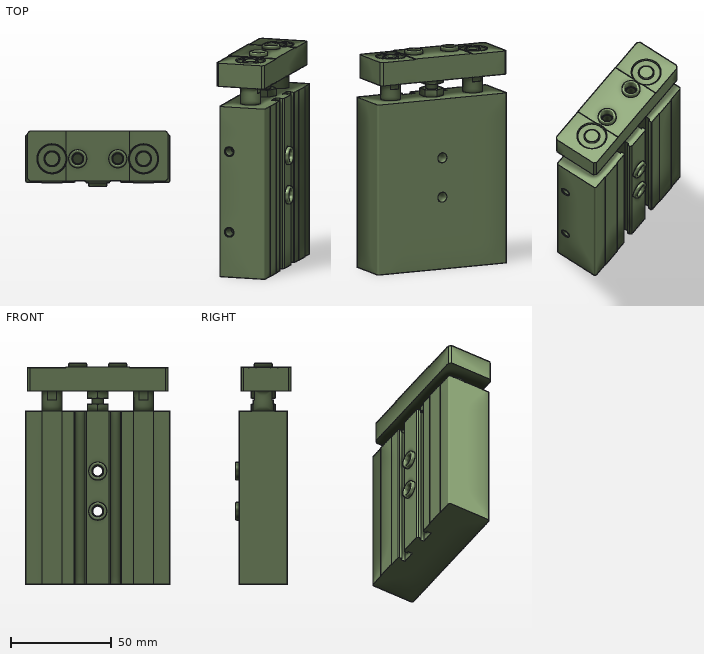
import cadquery as cq
import math

total_height = 110.4
housing_width = 72.0
housing_depth = 24.1
housing_height = 86.4
rod_gap = 9.9

housing_round = 1.0
front_y = -housing_depth / 2
slot_centre_x = 8.8
slot_throat = 5.0
slot_head = 6.8
slot_depth = 4.5
slot_lip = 2.2
rib_chamfer = 0.8
outer_chamfer = 0.7
relief_depth = 0.2
side_hole_y = 6.8
side_hole_drops = (22.6, 63.6)
side_hole_diameter = 4.1
side_hole_mouth = 5.0
side_hole_depth = 8.8
drill_point_angle = 118.0

sleeve_pitch = 20.0
sleeve_diameter = 9.0
sleeve_bore = 6.0
sleeve_exposed = 1.9
sleeve_seat = 2.1
thread_diameter = 5.0
plate_thread_depth = 7.7
upper_port_drop = 29.9
plate_sleeve_xs = (-sleeve_pitch / 2, sleeve_pitch / 2)
port_heights = [housing_height - upper_port_drop - i * sleeve_pitch for i in range(2)]

plate_width = 70.1
plate_back_y = 13.9
plate_front_y = -11.0
plate_chamfer = 1.2
pad_width = 31.7
pad_height = 0.3
plate_bottom = housing_height + rod_gap
pad_top = total_height - sleeve_exposed
plate_top = pad_top - pad_height

piston_diameter = 6.0
hex_corners = 12.0
hex_height = 3.5
hex_chamfer_rise = 0.2
hex_chamfer_width = 0.4

guide_spacing = 45.7
guide_xs = (-guide_spacing / 2, guide_spacing / 2)
guide_diameter = 10.0
spigot_diameter = 8.0
spigot_chamfer = 0.5
flat_width = 8.9
flat_height = 4.3
recess_diameter = 14.0
recess_mouth = 15.0
recess_depth = (recess_mouth - recess_diameter) / 2


def cylinder(diameter, bottom, top, x=0.0):
    """Upright cylinder on the Y = 0 plane."""
    return cq.Workplane("XY", origin=(x, 0, bottom)).circle(diameter / 2).extrude(top - bottom)


def tee_slot():
    """Tee slot at +X, cut through the full housing height; its rib side is the -X side."""
    rib_x = slot_centre_x - slot_throat / 2
    outer_x = slot_centre_x + slot_throat / 2
    head_rib_x = slot_centre_x - slot_head / 2
    head_outer_x = slot_centre_x + slot_head / 2
    lip_y = front_y + slot_lip
    floor_y = front_y + slot_depth
    outline = [
        (rib_x - rib_chamfer, front_y),
        (rib_x, front_y + rib_chamfer),
        (rib_x, lip_y),
        (head_rib_x, lip_y),
        (head_rib_x, floor_y),
        (head_outer_x, floor_y),
        (head_outer_x, lip_y),
        (outer_x, lip_y),
        (outer_x, front_y + outer_chamfer),
        (outer_x + outer_chamfer, front_y),
    ]
    return cq.Workplane("XY").polyline(outline).close().extrude(housing_height)


def front_relief():
    """Shallow cut over the +X part of the front face, leaving a strip in front of the guide rod."""
    strip_start = (guide_spacing - guide_diameter) / 2
    strip_end = (guide_spacing + guide_diameter) / 2
    face_end = housing_width / 2
    relief = cq.Workplane("XY")
    for start, end in ((slot_centre_x, strip_start), (strip_end, face_end)):
        relief = relief.moveTo((start + end) / 2, front_y).rect(end - start, 2 * relief_depth)
    return relief.extrude(housing_height)


def side_hole(z):
    """Blind drilled hole in the -X face with a conical point and a chamfered mouth."""
    radius = side_hole_diameter / 2
    mouth_radius = side_hole_mouth / 2
    mouth_depth = mouth_radius - radius
    point_depth = radius / math.tan(math.radians(drill_point_angle / 2))
    profile = [
        (0, 0),
        (0, mouth_radius),
        (mouth_depth, radius),
        (side_hole_depth, radius),
        (side_hole_depth + point_depth, 0),
    ]
    hole = cq.Workplane("XY").polyline(profile).close().revolve(360, (0, 0, 0), (1, 0, 0))
    return hole.translate((-housing_width / 2, side_hole_y, z))


def sleeve_hole(thread_depth):
    """Sleeve seat with a thread hole below it, entering downward from Z = 0."""
    seat = cylinder(sleeve_diameter, -sleeve_seat, 0)
    return seat.union(cylinder(thread_diameter, -thread_depth, 0))


def face_front(body, z):
    """Turn a body whose axis is +Z to face -Y, and set it on the housing front at height z."""
    return body.rotate((0, 0, 0), (1, 0, 0), 90).translate((0, front_y, z))


def make_housing():
    body = cq.Workplane("XY").rect(housing_width, housing_depth).extrude(housing_height)
    slot = tee_slot()
    body = body.cut(slot).cut(slot.mirror("YZ"))
    relief = front_relief()
    body = body.cut(relief).cut(relief.mirror("YZ"))
    body = body.edges("|Z and (<X or >X)").fillet(housing_round)
    for drop in side_hole_drops:
        body = body.cut(side_hole(housing_height - drop))
    for z in port_heights:
        body = body.cut(face_front(sleeve_hole(housing_depth), z))
    return body


def hexagon(bottom):
    """Hexagon with corners on the Y axis and conically chamfered ends."""
    prism = cq.Workplane("XY").polygon(6, hex_corners).extrude(hex_height)
    prism = prism.rotate((0, 0, 0), (0, 0, 1), 90)
    turned = cylinder(hex_corners, 0, hex_height).faces("<Z or >Z")
    turned = turned.chamfer(hex_chamfer_rise, hex_chamfer_width)
    return prism.intersect(turned).translate((0, 0, bottom))


def guide_seat(x):
    """Spigot hole through the yoke plate with a shallow, taper-walled recess at its top."""
    hole = cylinder(spigot_diameter, plate_bottom, pad_top, x)
    top_circle = cq.Workplane("XY", origin=(x, 0, plate_top)).circle(recess_mouth / 2)
    taper = top_circle.workplane(offset=-recess_depth).circle(recess_diameter / 2).loft()
    return hole.union(taper).union(cylinder(recess_mouth, plate_top, pad_top, x))


def make_yoke():
    """Plate carrying the piston rod with its two hexagons."""
    depth = plate_back_y - plate_front_y
    centre_y = (plate_back_y + plate_front_y) / 2
    base = cq.Workplane("XY", origin=(0, centre_y, plate_bottom))
    body = base.rect(plate_width, depth).extrude(plate_top - plate_bottom)
    body = body.edges("|Z").chamfer(plate_chamfer)
    body = body.union(base.rect(pad_width, depth).extrude(pad_top - plate_bottom))
    for x in guide_xs:
        body = body.cut(guide_seat(x))
    for x in plate_sleeve_xs:
        body = body.cut(sleeve_hole(plate_thread_depth).translate((x, 0, pad_top)))
    body = body.union(cylinder(piston_diameter, housing_height, plate_bottom))
    for bottom in (housing_height, plate_bottom - hex_height):
        body = body.union(hexagon(bottom))
    return body


def make_guide_rod(x):
    """Rod standing on the housing, with two wrench flats and a spigot through the plate."""
    rod = cylinder(guide_diameter, housing_height, plate_bottom)
    flats_bottom = cq.Workplane("XY", origin=(0, 0, plate_bottom - flat_height))
    waste = flats_bottom.rect(guide_diameter, 2 * guide_diameter).rect(guide_diameter, flat_width)
    rod = rod.cut(waste.extrude(flat_height))
    spigot = cylinder(spigot_diameter, plate_bottom, plate_top).faces(">Z").chamfer(spigot_chamfer)
    return rod.union(spigot).translate((x, 0, 0))


def make_sleeve():
    """Centring sleeve along Z with a fully rounded rim; Z = 0 is the surface it is seated in."""
    outer = -sleeve_diameter / 2
    inner = -sleeve_bore / 2
    rim_radius = (inner - outer) / 2
    shoulder = sleeve_exposed - rim_radius
    profile = cq.Workplane("XZ").moveTo(outer, -sleeve_seat).lineTo(outer, shoulder)
    profile = profile.threePointArc((outer + rim_radius, sleeve_exposed), (inner, shoulder))
    profile = profile.lineTo(inner, -sleeve_seat).close()
    return profile.revolve(360, (0, 0, 0), (0, 1, 0))


housing = make_housing()
yoke = make_yoke()
guide_rods = [make_guide_rod(x) for x in guide_xs]
plate_sleeves = [make_sleeve().translate((x, 0, pad_top)) for x in plate_sleeve_xs]
housing_sleeves = [face_front(make_sleeve(), z) for z in port_heights]

bodies = [housing, yoke, *guide_rods, *plate_sleeves, *housing_sleeves]
result = cq.Compound.makeCompound([body.val() for body in bodies])